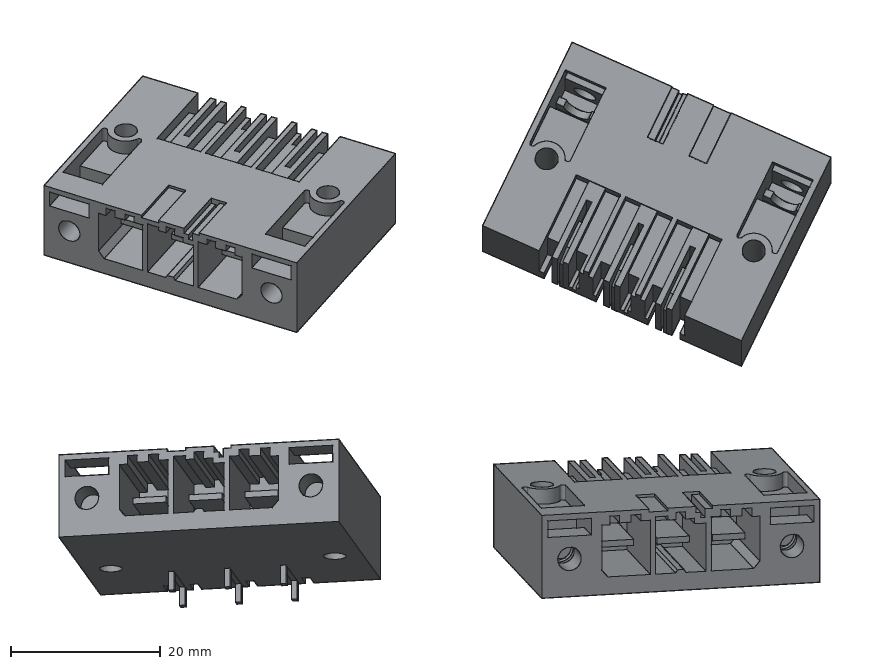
import cadquery as cq
import math


WIDTH = 38.1
DEPTH = 28.3
HEIGHT = 11.43

PITCH = 7.62
CELL_CENTRES = (-PITCH, 0.0, PITCH)
DIVIDER = 0.72
CELLS_HALF = 10.82
MID_CELL_HALF = (PITCH - DIVIDER) / 2
OUTER_CELL_INNER_X = MID_CELL_HALF + DIVIDER

CAVITY_DEPTH = 13.7
CAVITY_FLOOR = 2.45
KEYWAY_TOP = 10.8
TOOTH_BOTTOM = 9.8
OUTER_ROOF = 9.6
INNER_ROOF = 9.9
CORNER_CUT_X = 0.85
CORNER_CUT_Z = 1.0
OUTER_KEYWAYS = ((5.5, 6.82), (8.4, 9.7))
MID_KEYWAY_HALF = 0.65
MID_LEFT_ROOF = 10.33
MID_RIGHT_ROOF = 9.05
MID_STEP_RIGHT_X = 1.9
FLOOR_KEY_BASE_HALF = 0.72
FLOOR_KEY_TOP_HALF = 0.45
FLOOR_KEY_HEIGHT = 0.42

CODING_LENGTH = 7.8
CODING_OUTER_X = 4.35
CODING_FLOOR = 11.05
LEFT_CODING_INNER_X = 1.8
RIGHT_CODING_INNER_X = 2.05
RIGHT_CODING_FLOOR = 10.6
GROOVE_X = (2.75, 3.3)
GROOVE_FLOOR = 9.85

REAR_FRONT_Y = 16.57
REAR_HALF = 10.7
REAR_FLOOR = 9.83
POST_HALF = 1.22
POST_DROP = 0.2
NOTCH_FRONT_Y = 25.7
NOTCH_INNER_HALF = 2.32
NOTCH_OUTER_HALF = 2.8
NOTCH_END_LEDGE_X = 10.0
LEDGE_Z = 2.45
WEB_TOP = 1.37
WEB_ARC_START_Z = 0.95
WEB_ARC_RADIUS = 1.05
WEB_ARC_WIDTH = 0.57

EAR_X = 15.25
SCREW_HOLE_RADIUS = 1.52
FRONT_HOLE_RADIUS = 1.6
SCREW_Y = 16.23
BOSS_RADIUS = 2.48
FRONT_HOLE_Z = 5.22
EAR_POCKET_HALF = 2.97
EAR_POCKET_FRONT_Y = 3.9
EAR_POCKET_FLOOR = 9.35
TIP_RADIUS = 0.4
WELL_REAR_Y = 8.8
WINDOW_FLOOR = 8.35
WINDOW_TOP = 10.63
WELL_FRONT_Y = 4.1
WELL_FLOOR = 3.05
SADDLE_Y = (5.85, 6.9)
SADDLE_RADIUS = 1.85

TERMINAL_WIDTH = 0.75
TERMINAL_FRONT_Y = 19.13
TERMINAL_REAR_Y = 27.62
TAB_FRONT_Y = 21.53
TAB_SLOPE_Y = 25.5
TAB_TOP = 8.75
TAB_SLOPE_DROP = 1.25
BLADE_WIDTH = 4.45
BLADE_BOTTOM = 5.37
BLADE_TOP = 6.2
BLADE_TIP_Y = 4.57
LEG_LENGTH = 2.55
LEG_DEPTH = 1.0


def block(x, y, z):
    """Box spanning the given (low, high) pairs."""
    size = (x[1] - x[0], y[1] - y[0], z[1] - z[0])
    return cq.Workplane("XY").box(*size, centered=False).translate((x[0], y[0], z[0]))


def prism_along_y(points, y_start, y_end):
    """Extrude an X-Z outline from y_start back to y_end."""
    plane = cq.Workplane("XZ", origin=(0, y_start, 0))
    return plane.polyline(points).close().extrude(y_start - y_end)


def mirrored(solid):
    return solid.mirror("YZ")



def outer_cavity():
    """Cavity of the right-hand cell: two keyways and a cut lower corner."""
    (in_a, in_b), (out_a, out_b) = OUTER_KEYWAYS
    return prism_along_y([
        (OUTER_CELL_INNER_X, CAVITY_FLOOR),
        (OUTER_CELL_INNER_X, INNER_ROOF),
        (in_a, INNER_ROOF),
        (in_a, KEYWAY_TOP),
        (in_b, KEYWAY_TOP),
        (in_b, TOOTH_BOTTOM),
        (out_a, TOOTH_BOTTOM),
        (out_a, KEYWAY_TOP),
        (out_b, KEYWAY_TOP),
        (out_b, OUTER_ROOF),
        (CELLS_HALF, OUTER_ROOF),
        (CELLS_HALF, CAVITY_FLOOR + CORNER_CUT_Z),
        (CELLS_HALF - CORNER_CUT_X, CAVITY_FLOOR),
    ], 0, CAVITY_DEPTH)


def middle_cavity():
    """Cavity of the middle cell: one keyway, a stepped roof and a key on the floor."""
    key_top = CAVITY_FLOOR + FLOOR_KEY_HEIGHT
    return prism_along_y([
        (-MID_CELL_HALF, CAVITY_FLOOR),
        (-MID_CELL_HALF, MID_LEFT_ROOF),
        (-LEFT_CODING_INNER_X, MID_LEFT_ROOF),
        (-LEFT_CODING_INNER_X, TOOTH_BOTTOM),
        (-MID_KEYWAY_HALF, TOOTH_BOTTOM),
        (-MID_KEYWAY_HALF, KEYWAY_TOP),
        (MID_KEYWAY_HALF, KEYWAY_TOP),
        (MID_KEYWAY_HALF, TOOTH_BOTTOM),
        (MID_STEP_RIGHT_X, TOOTH_BOTTOM),
        (MID_STEP_RIGHT_X, MID_RIGHT_ROOF),
        (MID_CELL_HALF, MID_RIGHT_ROOF),
        (MID_CELL_HALF, CAVITY_FLOOR),
        (FLOOR_KEY_BASE_HALF, CAVITY_FLOOR),
        (FLOOR_KEY_TOP_HALF, key_top),
        (-FLOOR_KEY_TOP_HALF, key_top),
        (-FLOOR_KEY_BASE_HALF, CAVITY_FLOOR),
    ], 0, CAVITY_DEPTH)


def coding_slots():
    left = block((-CODING_OUTER_X, -LEFT_CODING_INNER_X), (0, CODING_LENGTH), (CODING_FLOOR, HEIGHT))
    right = prism_along_y([
        (RIGHT_CODING_INNER_X, HEIGHT),
        (RIGHT_CODING_INNER_X, RIGHT_CODING_FLOOR),
        (GROOVE_X[0], RIGHT_CODING_FLOOR),
        (GROOVE_X[0], GROOVE_FLOOR),
        (GROOVE_X[1], GROOVE_FLOOR),
        (GROOVE_X[1], CODING_FLOOR),
        (CODING_OUTER_X, CODING_FLOOR),
        (CODING_OUTER_X, HEIGHT),
    ], 0, CODING_LENGTH)
    return left.union(right)


def rear_notch(inner_x, ledge_x, outer_x):
    """Opening through the pocket floor, with a low ledge along its outer side."""
    y = (NOTCH_FRONT_Y, DEPTH)
    opening = block(sorted((inner_x, ledge_x)), y, (0, HEIGHT))
    ledge = block(sorted((ledge_x, outer_x)), y, (LEDGE_Z, HEIGHT))
    return opening.union(ledge)


def low_web(centre):
    """Web that closes the opening on the left of a post, with a hollow along its outer side."""
    outer_x = centre - NOTCH_INNER_HALF
    arc_end_x = outer_x + WEB_ARC_WIDTH
    post_x = centre - POST_HALF

    def arc_point(fraction):
        run = WEB_ARC_WIDTH * fraction
        rise = WEB_ARC_RADIUS - math.sqrt(WEB_ARC_RADIUS ** 2 - run ** 2)
        return (outer_x + run, WEB_ARC_START_Z + rise)

    return (
        cq.Workplane("XZ", origin=(0, NOTCH_FRONT_Y, 0))
        .moveTo(outer_x, 0)
        .lineTo(*arc_point(0))
        .threePointArc(arc_point(0.5), arc_point(1))
        .lineTo(arc_end_x, WEB_TOP)
        .lineTo(post_x, WEB_TOP)
        .lineTo(post_x, 0)
        .close()
        .extrude(NOTCH_FRONT_Y - DEPTH)
    )


def rear_pockets():
    """Three pockets behind the cells, each interrupted by the post in its middle."""
    y = (REAR_FRONT_Y, DEPTH)
    z = (REAR_FLOOR, HEIGHT)
    spans = (
        (-REAR_HALF, -OUTER_CELL_INNER_X),
        (-MID_CELL_HALF, MID_CELL_HALF),
        (OUTER_CELL_INNER_X, REAR_HALF),
    )
    cut = cq.Workplane("XY")
    for span, centre in zip(spans, CELL_CENTRES):
        post = block((centre - POST_HALF, centre + POST_HALF), y, (0, HEIGHT - POST_DROP))
        cut = cut.add(block(span, y, z).cut(post))
    return cut.combine()


def rear_notches():
    cut = rear_notch(-PITCH - POST_HALF, -NOTCH_END_LEDGE_X, -REAR_HALF)
    cut = cut.union(rear_notch(PITCH + POST_HALF, NOTCH_END_LEDGE_X, REAR_HALF))
    for centre in CELL_CENTRES[:-1]:
        cut = cut.union(rear_notch(centre + POST_HALF, centre + NOTCH_INNER_HALF, centre + NOTCH_OUTER_HALF))
    for centre in CELL_CENTRES[1:]:
        notch = rear_notch(centre - POST_HALF, centre - NOTCH_INNER_HALF, centre - NOTCH_OUTER_HALF)
        cut = cut.union(notch.cut(low_web(centre)))
    return cut


def ear_pocket():
    """Upper pocket of the right-hand ear, ending in rounded tips around the screw boss."""
    tip_x = EAR_POCKET_HALF - TIP_RADIUS
    reach = BOSS_RADIUS + TIP_RADIUS
    tip_y = SCREW_Y - math.sqrt(reach ** 2 - tip_x ** 2)
    touch_x = tip_x * BOSS_RADIUS / reach
    touch_y = SCREW_Y - (SCREW_Y - tip_y) * BOSS_RADIUS / reach
    tip_top = tip_y + TIP_RADIUS
    return (
        cq.Workplane("XY", origin=(EAR_X, 0, EAR_POCKET_FLOOR))
        .moveTo(-EAR_POCKET_HALF, EAR_POCKET_FRONT_Y)
        .lineTo(EAR_POCKET_HALF, EAR_POCKET_FRONT_Y)
        .lineTo(EAR_POCKET_HALF, tip_y)
        .threePointArc((tip_x, tip_top), (touch_x, touch_y))
        .threePointArc((0, SCREW_Y - BOSS_RADIUS), (-touch_x, touch_y))
        .threePointArc((-tip_x, tip_top), (-EAR_POCKET_HALF, tip_y))
        .close()
        .extrude(HEIGHT - EAR_POCKET_FLOOR)
    )


def cylinder_along_y(radius, y_start, y_end):
    """Cylinder on the axis of the right-hand front hole."""
    plane = cq.Workplane("XZ", origin=(EAR_X, y_start, FRONT_HOLE_Z))
    return plane.circle(radius).extrude(y_start - y_end)


def ear_cut():
    """Everything removed from the right-hand ear."""
    x = (EAR_X - EAR_POCKET_HALF, EAR_X + EAR_POCKET_HALF)
    window = block(x, (0, WELL_FRONT_Y), (WINDOW_FLOOR, WINDOW_TOP))
    well = block(x, (WELL_FRONT_Y, WELL_REAR_Y), (WELL_FLOOR, WINDOW_TOP))
    saddle = block(x, SADDLE_Y, (WELL_FLOOR, FRONT_HOLE_Z)).cut(
        cylinder_along_y(SADDLE_RADIUS, *SADDLE_Y)
    )
    front_hole = cylinder_along_y(FRONT_HOLE_RADIUS, 0, WELL_FRONT_Y)
    screw_hole = cq.Workplane("XY", origin=(EAR_X, SCREW_Y, 0)).circle(SCREW_HOLE_RADIUS).extrude(HEIGHT)
    cut = ear_pocket().union(window).union(well.cut(saddle))
    return cut.union(front_hole).union(screw_hole)


def terminal_seat(centre):
    """Slot in the post for the terminal plate and the passage for its blade."""
    half_plate = TERMINAL_WIDTH / 2
    half_blade = BLADE_WIDTH / 2
    slot = block((centre - half_plate, centre + half_plate), (TERMINAL_FRONT_Y, DEPTH), (0, HEIGHT))
    passage = block(
        (centre - half_blade, centre + half_blade),
        (CAVITY_DEPTH, TERMINAL_FRONT_Y),
        (BLADE_BOTTOM, BLADE_TOP),
    )
    return slot.union(passage)


def make_housing():
    body = block((-WIDTH / 2, WIDTH / 2), (0, DEPTH), (0, HEIGHT))
    body = body.cut(outer_cavity()).cut(mirrored(outer_cavity())).cut(middle_cavity())
    body = body.cut(coding_slots())
    body = body.cut(rear_pockets()).cut(rear_notches())
    body = body.cut(ear_cut()).cut(mirrored(ear_cut()))
    for centre in CELL_CENTRES:
        body = body.cut(terminal_seat(centre))
    return body



def make_terminal(centre):
    """Flat blade in the cavity, upright plate in the post and two solder legs."""
    half_plate = TERMINAL_WIDTH / 2
    half_blade = BLADE_WIDTH / 2
    plate = (
        cq.Workplane("YZ", origin=(centre - half_plate, 0, 0))
        .polyline([
            (TERMINAL_FRONT_Y, 0),
            (TERMINAL_FRONT_Y, BLADE_TOP),
            (TAB_FRONT_Y, BLADE_TOP),
            (TAB_FRONT_Y, TAB_TOP),
            (TAB_SLOPE_Y, TAB_TOP),
            (TERMINAL_REAR_Y, TAB_TOP - TAB_SLOPE_DROP),
            (TERMINAL_REAR_Y, 0),
        ])
        .close()
        .extrude(TERMINAL_WIDTH)
    )
    blade = block(
        (centre - half_blade, centre + half_blade),
        (BLADE_TIP_Y, TERMINAL_FRONT_Y),
        (BLADE_BOTTOM, BLADE_TOP),
    )
    terminal = plate.union(blade)
    for leg_y in (TERMINAL_FRONT_Y, TERMINAL_REAR_Y - LEG_DEPTH):
        leg = block((centre - half_plate, centre + half_plate), (leg_y, leg_y + LEG_DEPTH), (-LEG_LENGTH, 0))
        terminal = terminal.union(leg)
    return terminal


housing = make_housing()
terminals = [make_terminal(centre) for centre in CELL_CENTRES]

result = cq.Compound.makeCompound([housing.val(), *[terminal.val() for terminal in terminals]])